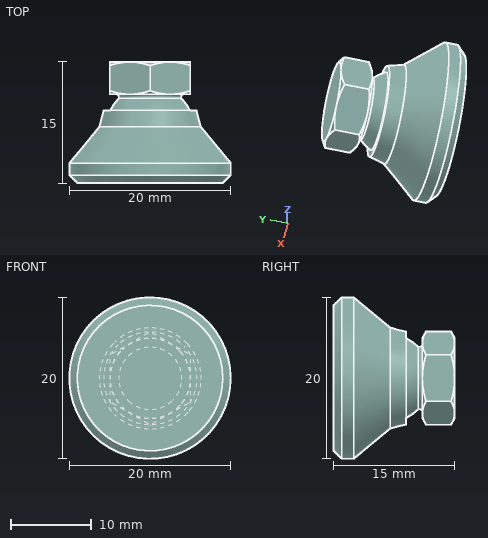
import cadquery as cq
import math

total_height = 15.0

pad_radius = 10.0
pad_chamfer = 1.0
rim_top = 2.5
collar_bottom = 7.0
collar_top = 9.0
collar_bottom_radius = 6.28
collar_top_radius = 5.75

ball_radius = 5.5
neck_radius = 3.88
neck_length = 0.5
neck_fillet = 0.3

hex_across_flats = 10.0
hex_height = 4.0
hex_chamfer_angle = 30.0

hex_bottom = total_height - hex_height
neck_bottom = hex_bottom - neck_length
ball_center = neck_bottom - math.sqrt(ball_radius**2 - neck_radius**2)


def ball_radius_at(height):
    """Radius of the ball's circular section at a height along Y."""
    return math.sqrt(ball_radius**2 - (height - ball_center) ** 2)


def turn(profile):
    """Revolve a closed radius/height profile about the Y axis."""
    return profile.close().revolve(360, (0, 0, 0), (0, 1, 0))


def make_turned_body():
    """Pad, collar, exposed ball and concave neck in one revolution."""
    arc_middle = (neck_bottom + collar_top) / 2
    fillet_middle_rise = neck_fillet * math.sqrt(0.5)
    fillet_middle_inset = neck_fillet - fillet_middle_rise
    profile = (
        cq.Workplane("XY")
        .moveTo(0, 0)
        .lineTo(pad_radius - pad_chamfer, 0)
        .lineTo(pad_radius, pad_chamfer)
        .lineTo(pad_radius, rim_top)
        .lineTo(collar_bottom_radius, collar_bottom)
        .lineTo(collar_top_radius, collar_top)
        .lineTo(ball_radius_at(collar_top), collar_top)
        .threePointArc((ball_radius_at(arc_middle), arc_middle), (neck_radius, neck_bottom))
        .lineTo(neck_radius, hex_bottom - neck_fillet)
        .threePointArc(
            (neck_radius + fillet_middle_inset, hex_bottom - neck_fillet + fillet_middle_rise),
            (neck_radius + neck_fillet, hex_bottom),
        )
        .lineTo(0, hex_bottom)
    )
    return turn(profile)


def make_hex_head():
    """Hexagon with flats facing +X and -X, its corners chamfered at both ends."""
    corner_radius = hex_across_flats / 2 / math.cos(math.radians(30))
    end_radius = hex_across_flats / 2
    chamfer_height = (corner_radius - end_radius) * math.tan(math.radians(hex_chamfer_angle))
    prism = (
        cq.Workplane("XZ", origin=(0, total_height, 0))
        .transformed(rotate=(0, 0, 90))
        .polygon(6, 2 * corner_radius)
        .extrude(hex_height)
    )
    chamfer_envelope = turn(
        cq.Workplane("XY")
        .moveTo(0, hex_bottom)
        .lineTo(end_radius, hex_bottom)
        .lineTo(corner_radius, hex_bottom + chamfer_height)
        .lineTo(corner_radius, total_height - chamfer_height)
        .lineTo(end_radius, total_height)
        .lineTo(0, total_height)
    )
    return prism.intersect(chamfer_envelope)


foot = make_turned_body().union(make_hex_head())
result = foot.translate((0, -total_height / 2, 0))